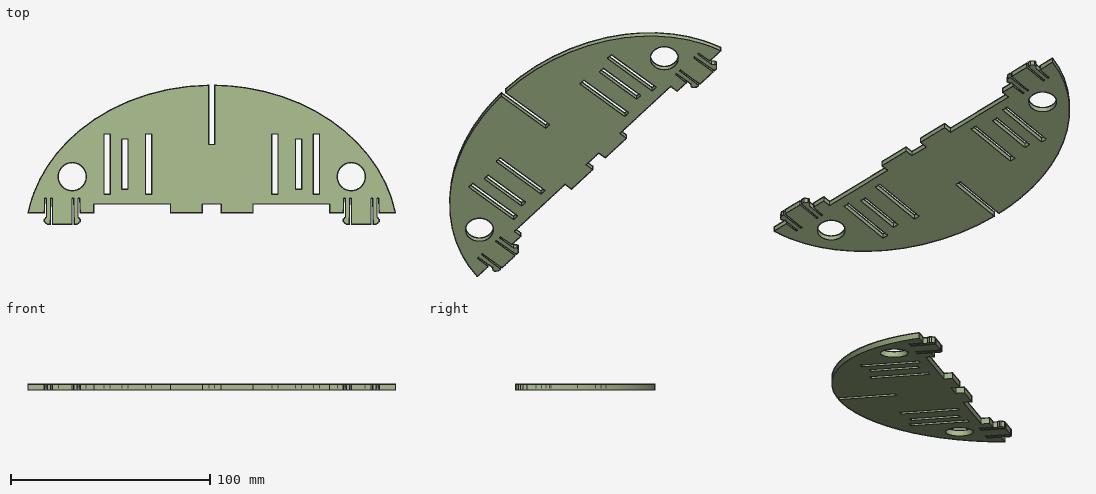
import cadquery as cq
import math

thickness = 3.0
half_width = 92.22
overall_depth = 69.82

clip_reach = 5.7
dome_height = overall_depth - clip_reach
ellipse_drop = 13.0
ellipse_y_radius = dome_height + ellipse_drop
ellipse_x_radius = half_width / math.sqrt(1 - (ellipse_drop / ellipse_y_radius) ** 2)

slot_width = 3.0
center_slot_depth = 29.7
slot_center_y = 24.5
long_slot_length = 30.0
short_slot_length = 25.0
side_slots = [
    (31.7, long_slot_length),
    (43.6, short_slot_length),
    (52.5, long_slot_length),
]

hole_diameter = 14.0
hole_x = 70.0
hole_y = 18.2

notch_depth = 4.4
center_notch_width = 9.5
side_notch_width = 38.4
side_notch_x = 40.0

clip_x = 75.0
tongue_half_width = 5.0
leg_outer = 8.0
gap_root_width = 0.7
gap_mouth_width = 0.95
leg_root_y = 7.3
barb_overhang = 1.1
barb_start_y = -2.0
barb_slope_height = 1.4
barb_flat_height = 0.9
leg_tip_width = 1.55


def block(x_min, x_max, y_min, y_max):
    """Full-thickness rectangular block between the given limits."""
    return (
        cq.Workplane("XY")
        .rect(x_max - x_min, y_max - y_min)
        .extrude(thickness)
        .translate(((x_min + x_max) / 2, (y_min + y_max) / 2, 0))
    )


def centered_block(x, y, width, length):
    """Full-thickness rectangular block centred on (x, y)."""
    return block(x - width / 2, x + width / 2, y - length / 2, y + length / 2)


def domed_plate():
    """Elliptical segment cut off straight at the base edge."""
    ellipse = (
        cq.Workplane("XY")
        .center(0, -ellipse_drop)
        .ellipse(ellipse_x_radius, ellipse_y_radius)
        .extrude(thickness)
    )
    return ellipse.intersect(block(-ellipse_x_radius, ellipse_x_radius, 0, dome_height))


def spring_leg(x, side):
    """Leg from the gap root to the clip end, its barb facing `side` (+1 or -1) of the clip at x."""
    barb_tip = leg_outer + barb_overhang
    barb_tip_y = barb_start_y - barb_slope_height
    tip_inner = tongue_half_width + gap_mouth_width
    profile = [
        (tongue_half_width + gap_root_width, leg_root_y),
        (leg_outer, leg_root_y),
        (leg_outer, barb_start_y),
        (barb_tip, barb_tip_y),
        (barb_tip, barb_tip_y - barb_flat_height),
        (tip_inner + leg_tip_width, -clip_reach),
        (tip_inner, -clip_reach),
    ]
    points = [(x + side * offset, y) for offset, y in profile]
    return cq.Workplane("XY").polyline(points).close().extrude(thickness)


def clip_relief(x):
    """Opening in the base edge for the clip at x, slightly wider at its mouth."""
    root_half_width = leg_outer + gap_root_width
    mouth_half_width = leg_outer + gap_mouth_width
    points = [
        (x - mouth_half_width, 0),
        (x - root_half_width, leg_root_y),
        (x + root_half_width, leg_root_y),
        (x + mouth_half_width, 0),
    ]
    return cq.Workplane("XY").polyline(points).close().extrude(thickness)


def add_clip(plate, x):
    """Open a relief in the base edge and fill it with the tongue and its two legs."""
    plate = plate.cut(clip_relief(x))
    plate = plate.union(block(x - tongue_half_width, x + tongue_half_width, -clip_reach, leg_root_y))
    for side in (-1, 1):
        plate = plate.union(spring_leg(x, side))
    return plate


plate = domed_plate()
plate = plate.cut(block(-slot_width / 2, slot_width / 2, dome_height - center_slot_depth, dome_height))
plate = plate.cut(block(-center_notch_width / 2, center_notch_width / 2, 0, notch_depth))

for mirror in (-1, 1):
    for slot_x, slot_length in side_slots:
        plate = plate.cut(centered_block(mirror * slot_x, slot_center_y, slot_width, slot_length))
    hole = cq.Workplane("XY").center(mirror * hole_x, hole_y).circle(hole_diameter / 2).extrude(thickness)
    plate = plate.cut(hole)
    plate = plate.cut(centered_block(mirror * side_notch_x, notch_depth / 2, side_notch_width, notch_depth))
    plate = add_clip(plate, mirror * clip_x)

result = plate